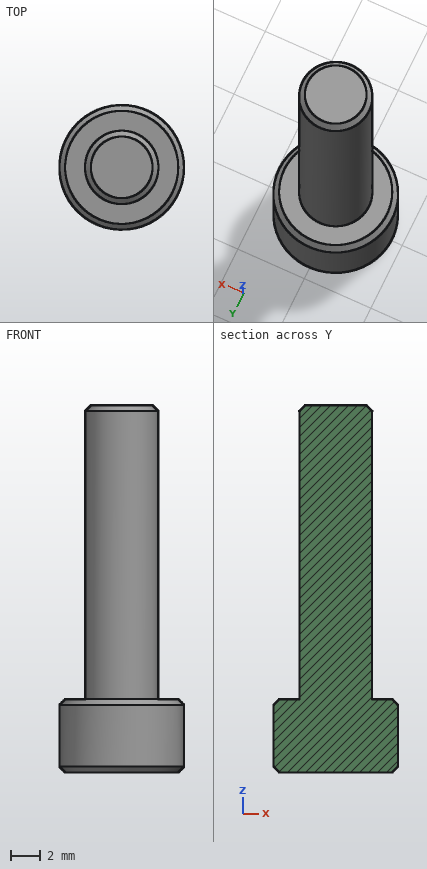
import cadquery as cq

total_length = 25.0
head_diameter = 8.5
head_height = 5.0
shank_diameter = 5.0
edge_chamfer = 0.4

shank_length = total_length - head_height


def make_head():
    """Cylindrical head, chamfered on both rims, standing on Z = 0."""
    head = cq.Workplane("XY").circle(head_diameter / 2).extrude(head_height)
    return head.edges("%CIRCLE").chamfer(edge_chamfer)


def make_shank():
    """Plain shank rising from the head, with a chamfered free end."""
    shank = cq.Workplane("XY").workplane(offset=head_height).circle(shank_diameter / 2).extrude(shank_length)
    return shank.faces(">Z").edges().chamfer(edge_chamfer)


result = make_head().union(make_shank())